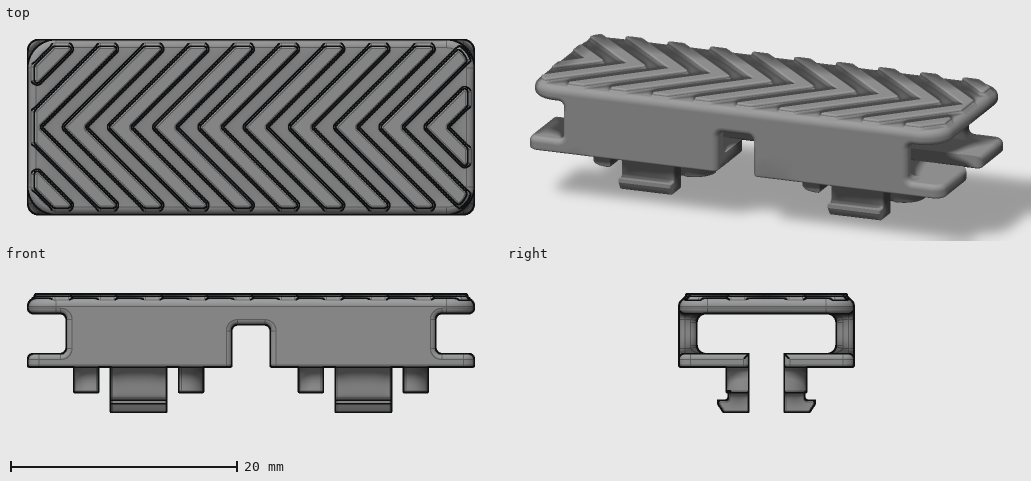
import cadquery as cq
length = 39.5
width = 15.5
overall_height = 10.49

clip_drop = 4.0
rib_top = overall_height - clip_drop
rib_height = 0.4
plate_top = rib_top - rib_height
plate_bottom = rib_top - 1.75
plate_corner = 2.5
plate_top_round = 0.7

wall = 1.6
flange_thickness = 1.2
flange_corner = 1.0
slot_width = 3.12
tunnel_corner = 0.75
end_cut_depth = 3.4
cut_corner = 0.5
edge_round = 0.5
wall_end_round = 0.6
bottom_round = 0.2
notch_width = 3.4
notch_top = rib_top - 2.75

rib_pitch = 4.0
rib_width = 1.9
rib_count = 11
first_rib_tip = -24.6
rib_inset = 0.6
rib_corner = 1.7
rib_round = 0.18
rib_upright_round = 0.25
foot_angle = 45

clip_x = 9.94
clip_length = 5.0
clip_outer_y = 3.4
hook_tip_y = 4.3
hook_bottom_y = 3.8
hook_top = -2.9
hook_tip_bottom = -3.25
hook_root_round = 0.2
clip_edge_round = 0.15
post_radius = 2.0
post_width = 2.22
post_outer_offset = 5.75
post_drop = 2.25
post_edge_round = 0.15

half_length = length / 2
half_width = width / 2
slot_side = slot_width / 2
wall_end_x = half_length - end_cut_depth
wall_inner_y = half_width - wall
beyond = 2 * length
root_height = flange_thickness / 2
tolerance = 0.001


def box(x_min, x_max, y_min, y_max, z_min, z_max):
    size = (x_max - x_min, y_max - y_min, z_max - z_min)
    return cq.Workplane().box(*size, centered=False).translate((x_min, y_min, z_min))


def centred_box(x_size, y_size, z_min, z_max):
    return box(-x_size / 2, x_size / 2, -y_size / 2, y_size / 2, z_min, z_max)


def mirrored_in_x(shape):
    return shape.union(shape.mirror("YZ"))


def mirrored_in_y(shape):
    return shape.union(shape.mirror("XZ"))


def close(value, target):
    return abs(value - target) < tolerance


def fillet_where(shape, condition, radius):
    """Round the edges whose bounding boxes meet the condition."""
    edges = [edge for edge in shape.edges().vals() if condition(edge.BoundingBox())]
    return shape.newObject(edges).fillet(radius)


def is_level(bounds, z):
    return close(bounds.zmin, z) and close(bounds.zmax, z)


def is_vertical(bounds):
    return close(bounds.xmin, bounds.xmax) and close(bounds.ymin, bounds.ymax)


def is_on_side(bounds):
    """True for edges lying in one of the two long side faces."""
    return close(bounds.ymin, bounds.ymax) and close(abs(bounds.ymin), half_width)


def is_along_slot(bounds):
    return close(bounds.ymin, bounds.ymax) and close(abs(bounds.ymin), slot_side)


def is_on_wall_end_inside(bounds):
    """True for the upright inner edges of the wall ends."""
    on_inner_face = close(abs(bounds.ymin), wall_inner_y)
    return is_vertical(bounds) and on_inner_face and close(abs(bounds.xmin), wall_end_x)


def is_on_end_cut(bounds):
    """True for the outer rims of the end cuts and the upright edges at the slot mouths."""
    if is_vertical(bounds):
        on_wall_end = close(abs(bounds.xmin), wall_end_x) and close(abs(bounds.ymin), half_width)
        at_slot_mouth = close(abs(bounds.xmin), half_length) and close(abs(bounds.ymin), slot_side)
        return on_wall_end or at_slot_mouth
    if is_along_slot(bounds):
        return False
    if is_on_side(bounds):
        return bounds.zmin > tolerance and min(abs(bounds.xmin), abs(bounds.xmax)) > notch_width
    if is_level(bounds, plate_bottom) or is_level(bounds, flange_thickness):
        return close(max(abs(bounds.xmin), abs(bounds.xmax)), half_length)
    return False


def is_on_notch(bounds):
    reach_x = max(abs(bounds.xmin), abs(bounds.xmax))
    return is_on_side(bounds) and bounds.zmax > tolerance and reach_x < notch_width


def body():
    """Plate, walls and split flange, with all their rounded edges."""
    plate = centred_box(length, width, plate_bottom, plate_top).edges("|Z").fillet(plate_corner)
    lower = centred_box(length, width, 0, plate_bottom).edges("|Z").fillet(flange_corner)
    end_cut = box(wall_end_x, beyond, -beyond, beyond, flange_thickness, plate_bottom)
    end_cut = end_cut.edges("|Y and <X").fillet(cut_corner)
    tunnel = centred_box(beyond, 2 * wall_inner_y, flange_thickness, plate_bottom)
    tunnel = tunnel.edges("|X").fillet(tunnel_corner)
    slot = centred_box(beyond, slot_width, -beyond, 2 * flange_thickness)
    notch = centred_box(notch_width, beyond, -beyond, notch_top)
    notch = notch.edges("|Y and >Z").fillet(cut_corner)
    shell = plate.union(lower.cut(mirrored_in_x(end_cut))).cut(tunnel).cut(slot).cut(notch)

    shell = fillet_where(shell, lambda bounds: is_level(bounds, plate_top), plate_top_round)
    shell = fillet_where(shell, is_on_end_cut, edge_round)
    shell = fillet_where(shell, is_on_notch, edge_round)
    shell = fillet_where(shell, lambda bounds: is_level(bounds, 0), bottom_round)
    return fillet_where(shell, is_on_wall_end_inside, wall_end_round)


def rib_prisms():
    """Chevrons trimmed to the rounded rectangle inside the plate's rim, with upright edges rounded."""
    field = centred_box(length - 2 * rib_inset, width - 2 * rib_inset, plate_bottom, rib_top)
    field = field.edges("|Z").fillet(rib_corner)
    ribs = []
    for index in range(rib_count):
        tip = first_rib_tip + index * rib_pitch
        chevron = (
            cq.Workplane(origin=(tip, 0, plate_bottom))
            .polyline([
                (0, 0),
                (half_width, half_width),
                (half_width + rib_width, half_width),
                (rib_width, 0),
                (half_width + rib_width, -half_width),
                (half_width, -half_width),
            ])
            .close()
            .extrude(rib_top - plate_bottom)
        )
        ribs += chevron.intersect(field).solids().vals()
    return [cq.Workplane(rib).edges("|Z").fillet(rib_upright_round) for rib in ribs]


def rounded_rib(rib):
    """A rib with a rounded top edge and a sloping foot that flares onto the plate."""
    crest = rib.faces(">Z").edges().fillet(rib_round)
    foot_top = plate_top + rib_round
    outline = rib.faces(">Z").wires().val().translate(cq.Vector(0, 0, foot_top - rib_top))
    foot = (
        cq.Workplane(origin=(0, 0, foot_top))
        .add(outline)
        .toPending()
        .extrude(-2 * rib_round, taper=-foot_angle)
    )
    return crest.union(foot)


def clip():
    """Hooked snap clip on the +X +Y quarter."""
    hook = (
        cq.Workplane("YZ", origin=(clip_x - clip_length / 2, 0, 0))
        .moveTo(slot_side, root_height)
        .lineTo(clip_outer_y, root_height)
        .lineTo(clip_outer_y, hook_top)
        .lineTo(hook_tip_y, hook_top)
        .lineTo(hook_tip_y, hook_tip_bottom)
        .lineTo(hook_bottom_y, -clip_drop)
        .lineTo(slot_side, -clip_drop)
        .close()
        .extrude(clip_length)
    )
    hook = fillet_where(
        hook,
        lambda bounds: is_level(bounds, hook_top) and close(bounds.ymax, clip_outer_y),
        hook_root_round,
    )
    return hook.faces("<X or >X or <Z").edges().fillet(clip_edge_round)


def post(flat_x, direction):
    """Quarter-round post on the +Y side; its round corner faces outward along the direction."""
    strip_end = flat_x + direction * (post_width - post_radius)
    far_x = flat_x + direction * post_width
    round_part = (
        cq.Workplane(origin=(strip_end, slot_side, -post_drop))
        .circle(post_radius)
        .extrude(post_drop + root_height)
    )
    quarter = box(min(flat_x, far_x), max(flat_x, far_x), slot_side, width, -post_drop, root_height)
    flat_part = box(
        min(flat_x, strip_end),
        max(flat_x, strip_end),
        slot_side,
        slot_side + post_radius,
        -post_drop,
        root_height,
    )
    whole = round_part.intersect(quarter).union(flat_part)
    return whole.faces("<Z").edges().fillet(post_edge_round)


def fasteners():
    """One clip and its two posts, repeated in all four quarters."""
    flat_offset = post_outer_offset - post_width
    quarter = clip()
    for direction in (-1, 1):
        quarter = quarter.add(post(clip_x + direction * flat_offset, direction))
    return mirrored_in_x(mirrored_in_y(quarter.combine()))


result = body()
for rib in rib_prisms():
    result = result.union(rounded_rib(rib))
result = result.union(fasteners())